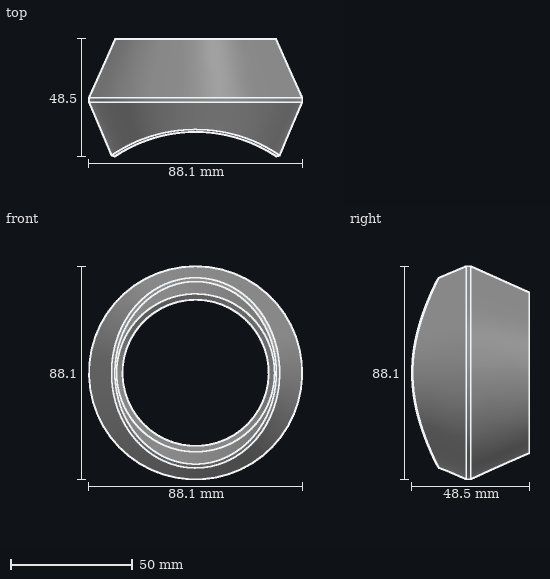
import cadquery as cq

OUTER_RADIUS = 44.05
WELD_END_RADIUS = 33.2
BAND_START = 24.2
BAND_WIDTH = 1.85
SADDLE_CONE_RADIUS = 33.5
SADDLE_CONE_END = 51.1

BORE_RADIUS = 32.6
WELD_BORE_RADIUS = 30.1
BORE_TAPER_LENGTH = BAND_START

RUN_PIPE_RADIUS = 59.9
SADDLE_CROWN_DEPTH = 38.4
RUN_PIPE_HALF_LENGTH = 52.9
EDGE_CHAMFER = 1.15

BAND_END = BAND_START + BAND_WIDTH


def turned_blank():
    """Solid double cone with a narrow cylindrical band at its widest part."""
    profile = (
        cq.Workplane("ZY")
        .moveTo(0, 0)
        .lineTo(WELD_END_RADIUS, 0)
        .lineTo(OUTER_RADIUS, -BAND_START)
        .lineTo(OUTER_RADIUS, -BAND_END)
        .lineTo(SADDLE_CONE_RADIUS, -SADDLE_CONE_END)
        .lineTo(0, -SADDLE_CONE_END)
        .close()
    )
    return profile.revolve(360, (0, 0, 0), (0, 1, 0))


def run_pipe():
    """Cylinder along Z that cuts the saddle."""
    axis_y = -SADDLE_CROWN_DEPTH - RUN_PIPE_RADIUS
    return (
        cq.Workplane("XY")
        .center(0, axis_y)
        .circle(RUN_PIPE_RADIUS)
        .extrude(RUN_PIPE_HALF_LENGTH, both=True)
    )


def bore():
    """Straight bore from the saddle, tapering to the smaller weld-end opening."""
    profile = (
        cq.Workplane("ZY")
        .moveTo(0, 0)
        .lineTo(WELD_BORE_RADIUS, 0)
        .lineTo(BORE_RADIUS, -BORE_TAPER_LENGTH)
        .lineTo(BORE_RADIUS, -SADDLE_CONE_END)
        .lineTo(0, -SADDLE_CONE_END)
        .close()
    )
    return profile.revolve(360, (0, 0, 0), (0, 1, 0))


saddled = turned_blank().cut(run_pipe())
chamfered = saddled.faces("<Y").edges().chamfer(EDGE_CHAMFER)
result = chamfered.cut(bore())